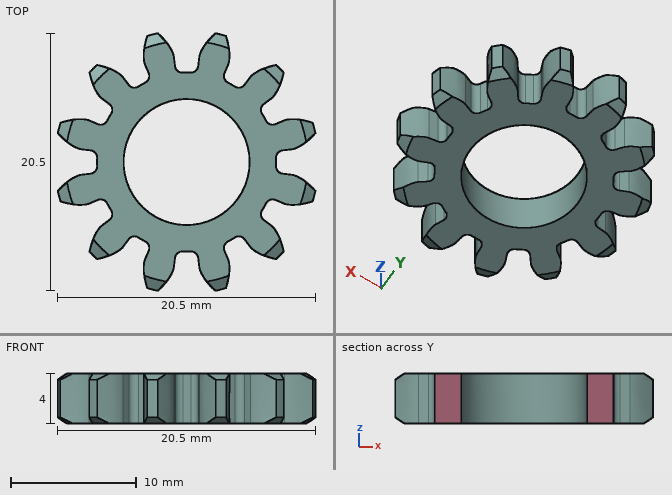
import cadquery as cq
import math

MODULE = 1.5
TEETH = 12
PRESSURE_ANGLE = math.radians(20)
FACE_WIDTH = 4.0
BORE_DIAMETER = 10.0
FLANK_THINNING = 0.03
ROOT_FILLET_FACTOR = 0.38
TIP_CHAMFER_HEIGHT = 0.5
TIP_CHAMFER_ANGLE = math.radians(30)
ADDENDUM_FACTOR = 1.0
DEDENDUM_FACTOR = 1.25
FLANK_POINTS = 7

PITCH_RADIUS = MODULE * TEETH / 2
BASE_RADIUS = PITCH_RADIUS * math.cos(PRESSURE_ANGLE)
TIP_RADIUS = PITCH_RADIUS + ADDENDUM_FACTOR * MODULE
ROOT_RADIUS = PITCH_RADIUS - DEDENDUM_FACTOR * MODULE
ROOT_FILLET = ROOT_FILLET_FACTOR * MODULE
CHAMFER_RADIUS = TIP_RADIUS - TIP_CHAMFER_HEIGHT / math.tan(TIP_CHAMFER_ANGLE)

TOOTH_PITCH = 2 * math.pi / TEETH
FIRST_TOOTH_ANGLE = TOOTH_PITCH / 2
PITCH_HALF_ANGLE = TOOTH_PITCH / 4 - FLANK_THINNING / PITCH_RADIUS


def involute(pressure_angle):
    return math.tan(pressure_angle) - pressure_angle


def tooth_half_angle(radius):
    """Half the angle spanned by a tooth at a radius on its involute flank."""
    local_pressure_angle = math.acos(min(1.0, BASE_RADIUS / radius))
    return PITCH_HALF_ANGLE + involute(PRESSURE_ANGLE) - involute(local_pressure_angle)


def polar(radius, angle):
    return (radius * math.cos(angle), radius * math.sin(angle))


BASE_HALF_ANGLE = tooth_half_angle(BASE_RADIUS)

TIP_ROLL = math.sqrt((TIP_RADIUS / BASE_RADIUS) ** 2 - 1)
FLANK_RADII = [
    BASE_RADIUS * math.hypot(1, TIP_ROLL * i / (FLANK_POINTS - 1))
    for i in range(FLANK_POINTS)
]


def add_tooth(outline, centre):
    """Continue the outline over one tooth and along the root to the next tooth."""
    rising = [polar(r, centre - tooth_half_angle(r)) for r in FLANK_RADII]
    falling = [polar(r, centre + tooth_half_angle(r)) for r in reversed(FLANK_RADII)]
    gap_middle = polar(ROOT_RADIUS, centre + TOOTH_PITCH / 2)
    next_tooth = polar(ROOT_RADIUS, centre + TOOTH_PITCH - BASE_HALF_ANGLE)
    return (
        outline.lineTo(*rising[0])
        .spline(rising[1:], includeCurrent=True)
        .threePointArc(polar(TIP_RADIUS, centre), falling[0])
        .spline(falling[1:], includeCurrent=True)
        .lineTo(*polar(ROOT_RADIUS, centre + BASE_HALF_ANGLE))
        .threePointArc(gap_middle, next_tooth)
    )


def toothed_body():
    """Extruded gear with involute flanks, radial below the base circle."""
    start = polar(ROOT_RADIUS, FIRST_TOOTH_ANGLE - BASE_HALF_ANGLE)
    outline = cq.Workplane("XY").moveTo(*start)
    for i in range(TEETH):
        outline = add_tooth(outline, FIRST_TOOTH_ANGLE + i * TOOTH_PITCH)
    return outline.close().extrude(FACE_WIDTH)


def fillet_roots(body):
    """Round the vertical edges where the flanks meet the root circle."""
    inside_base = (ROOT_RADIUS + BASE_RADIUS) / 2

    def is_root_edge(edge):
        centre = edge.Center()
        return math.hypot(centre.x, centre.y) < inside_base

    return body.edges("|Z").filter(is_root_edge).fillet(ROOT_FILLET)


def chamfered_ring():
    """Bored blank with a cone at each end that chamfers the tooth tips."""
    bore_radius = BORE_DIAMETER / 2
    section = [
        (bore_radius, 0),
        (CHAMFER_RADIUS, 0),
        (TIP_RADIUS, TIP_CHAMFER_HEIGHT),
        (TIP_RADIUS, FACE_WIDTH - TIP_CHAMFER_HEIGHT),
        (CHAMFER_RADIUS, FACE_WIDTH),
        (bore_radius, FACE_WIDTH),
    ]
    return cq.Workplane("XZ").polyline(section).close().revolve(360, (0, 0), (0, 1))


result = fillet_roots(toothed_body()).intersect(chamfered_ring())